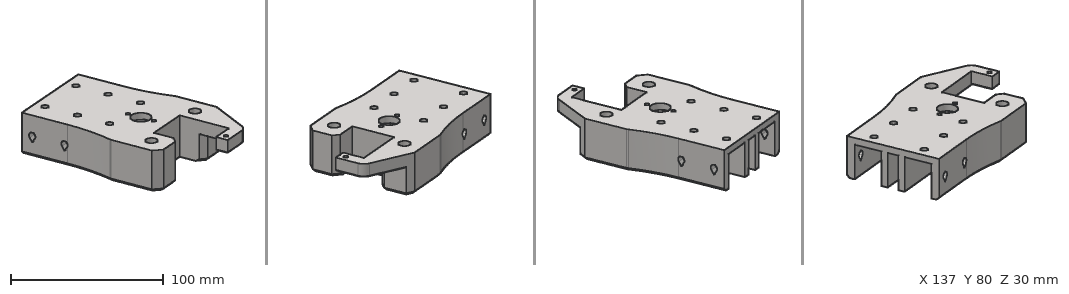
import cadquery as cq
import math

length = 137.0
width = 80.0
height = 30.0
tail_width = 70.0
plate_thickness = 5.0
half_width = width / 2
half_tail = tail_width / 2
tolerance = 0.01

flare_start = 35.2
flare_end = 70.5
flare_end_inset = 0.3
flare_flat_length = 1.2

notch_start = 90.0
notch_half_width = 16.0
body_end = 109.0
lobe_outer_corner_x = 5.6
lobe_outer_corner_y = 5.3
lobe_inner_corner = 4.0
arm_thickness = 9.9
arm_tip_width = 9.0
arm_slope_start = 103.5
arm_slope_angle = 29.1
arm_corner_radius = 7.4

body_chamfer = 2.0
arm_chamfer = 1.0

slot_width = 8.2
rib_thickness = 4.7
side_pocket_width = 20.4
side_pocket_length = 60.5
side_pocket_inner = slot_width / 2 + rib_thickness
side_pocket_outer = side_pocket_inner + side_pocket_width
slot_length = 55.1
slot_end_lip = 1.1
bay_length = 27.4
bay_width = 15.1

mount_hole_diameter = 5.0
mount_hole_first = 8.0
mount_hole_pitch = 25.0
mount_hole_columns = 3
mount_hole_y = 19.0
centre_hole_x = 70.0
centre_hole_diameter = 14.0
screw_hole_diameter = 3.0
screw_hole_offset = 10.0
pivot_hole_diameter = 8.2
pivot_hole_x = 95.0
pivot_hole_y = 27.0
arm_hole_y = 5.0
teardrop_diameter = 5.0
teardrop_columns = 2
teardrop_point = 4.5


def block(x_start, x_end, y_start, y_end, z_low, z_high):
    """Axis-aligned box given by its limits."""
    size = (x_end - x_start, y_end - y_start, z_high - z_low)
    return cq.Workplane("XY").box(*size, centered=False).translate((x_start, y_start, z_low))


def outline():
    """Closed outline of the whole part, seen from above."""
    flare_run = flare_end - flare_start
    flare_edge = half_width - flare_end_inset
    flare_rise = flare_edge - half_tail
    flare_radius = (flare_run**2 + flare_rise**2) / (2 * flare_rise)
    mid_angle = math.asin(flare_run / flare_radius) / 2
    mid_x = flare_start + flare_radius * math.sin(mid_angle)
    mid_y = half_tail + flare_radius * (1 - math.cos(mid_angle))
    flat_end = flare_end + flare_flat_length
    arm_corner_y = half_width - (length - arm_slope_start) * math.tan(math.radians(arm_slope_angle))
    tip_inner_x = length - arm_tip_width
    return (
        cq.Workplane("XY")
        .moveTo(0, -half_tail)
        .lineTo(flare_start, -half_tail)
        .threePointArc((mid_x, -mid_y), (flare_end, -flare_edge))
        .lineTo(flat_end, -half_width)
        .lineTo(body_end - lobe_outer_corner_x, -half_width)
        .lineTo(body_end, -half_width + lobe_outer_corner_y)
        .lineTo(body_end, -notch_half_width - lobe_inner_corner)
        .lineTo(body_end - lobe_inner_corner, -notch_half_width)
        .lineTo(notch_start, -notch_half_width)
        .lineTo(notch_start, notch_half_width)
        .lineTo(tip_inner_x, notch_half_width)
        .lineTo(tip_inner_x, 0)
        .lineTo(length, 0)
        .lineTo(length, arm_corner_y)
        .lineTo(arm_slope_start, half_width)
        .lineTo(flat_end, half_width)
        .lineTo(flare_end, flare_edge)
        .threePointArc((mid_x, mid_y), (flare_start, half_tail))
        .lineTo(0, half_tail)
        .close()
    )


def solid_body():
    """Outline at full height, thinned to the arm beyond the body end, with chamfered lower edges."""
    body = outline().extrude(-height)
    arm_corner = cq.selectors.NearestToPointSelector((length, half_width / 2, -height / 2))
    body = body.edges(arm_corner).fillet(arm_corner_radius)
    body = body.cut(block(body_end, length, -half_width, half_width, -height, -arm_thickness))

    inner_corner = (
        cq.Workplane("XY", origin=(0, 0, -arm_thickness))
        .moveTo(body_end - lobe_inner_corner, notch_half_width)
        .lineTo(body_end, notch_half_width)
        .lineTo(body_end, notch_half_width + lobe_inner_corner)
        .close()
        .extrude(arm_thickness - height)
    )
    body = body.cut(inner_corner)

    def on_body_rim(edge):
        middle = edge.Center()
        in_notch = middle.x < body_end - lobe_inner_corner and abs(middle.y) <= notch_half_width + tolerance
        return middle.x > tolerance and not in_notch

    def on_arm_rim(edge):
        middle = edge.Center()
        around_tip = middle.x > length - arm_tip_width - tolerance
        on_slope = middle.x > body_end + tolerance and middle.y > notch_half_width + tolerance
        return around_tip or on_slope

    body = body.faces("<Z").edges().filter(on_body_rim).chamfer(body_chamfer)
    arm_underside = cq.selectors.BoxSelector(
        (body_end, -half_width, -arm_thickness - tolerance),
        (length + tolerance, half_width, -arm_thickness + tolerance),
    )
    return body.edges(arm_underside).edges("#Z").filter(on_arm_rim).chamfer(arm_chamfer)


def side_pockets():
    """Pocket on each side, between the outer wall and the nearer rib."""
    right = block(
        0, side_pocket_length, -side_pocket_outer, -side_pocket_inner, -height, -plate_thickness
    )
    return right.union(right.mirror("XZ"))


def centre_slot():
    """Slot between the ribs; its far end slopes down at 45 degrees to a low lip."""
    lip_top = -height + slot_end_lip
    slope_run = -plate_thickness - lip_top
    return (
        cq.Workplane("XZ")
        .moveTo(0, -height)
        .lineTo(slot_length, -height)
        .lineTo(slot_length, lip_top)
        .lineTo(slot_length - slope_run, -plate_thickness)
        .lineTo(0, -plate_thickness)
        .close()
        .extrude(slot_width / 2, both=True)
    )


def centre_bay():
    """Rectangular bay below the top plate, around the centre hole."""
    start = centre_hole_x - bay_length / 2
    return block(start, start + bay_length, -bay_width / 2, bay_width / 2, -height, -plate_thickness)


def vertical_holes(points, diameter):
    """Round holes through the full height."""
    return cq.Workplane("XY").pushPoints(points).circle(diameter / 2).extrude(-height)


def teardrop_hole(x):
    """Teardrop hole along Y with the point downwards, through both outer walls only."""
    radius = teardrop_diameter / 2
    half_angle = math.asin(radius / teardrop_point)
    tangent_x = radius * math.cos(half_angle)
    tangent_z = -radius * math.sin(half_angle)
    wall_hole = (
        cq.Workplane("XZ", origin=(x, -side_pocket_outer, -height / 2))
        .moveTo(0, -teardrop_point)
        .lineTo(tangent_x, tangent_z)
        .threePointArc((0, radius), (-tangent_x, tangent_z))
        .close()
        .extrude(half_width - side_pocket_outer)
    )
    return wall_hole.union(wall_hole.mirror("XZ"))


mount_xs = [mount_hole_first + i * mount_hole_pitch for i in range(mount_hole_columns)]
mount_points = [(x, side * mount_hole_y) for x in mount_xs for side in (-1, 1)]
screw_points = [(centre_hole_x + side * screw_hole_offset, 0) for side in (-1, 1)]
screw_points.append((length - arm_tip_width / 2, arm_hole_y))
pivot_points = [(pivot_hole_x, side * pivot_hole_y) for side in (-1, 1)]

result = solid_body()
result = result.cut(side_pockets()).cut(centre_slot())
result = result.cut(centre_bay())
result = result.cut(vertical_holes(mount_points, mount_hole_diameter))
result = result.cut(vertical_holes([(centre_hole_x, 0)], centre_hole_diameter))
result = result.cut(vertical_holes(screw_points, screw_hole_diameter))
result = result.cut(vertical_holes(pivot_points, pivot_hole_diameter))
for x in mount_xs[:teardrop_columns]:
    result = result.cut(teardrop_hole(x))